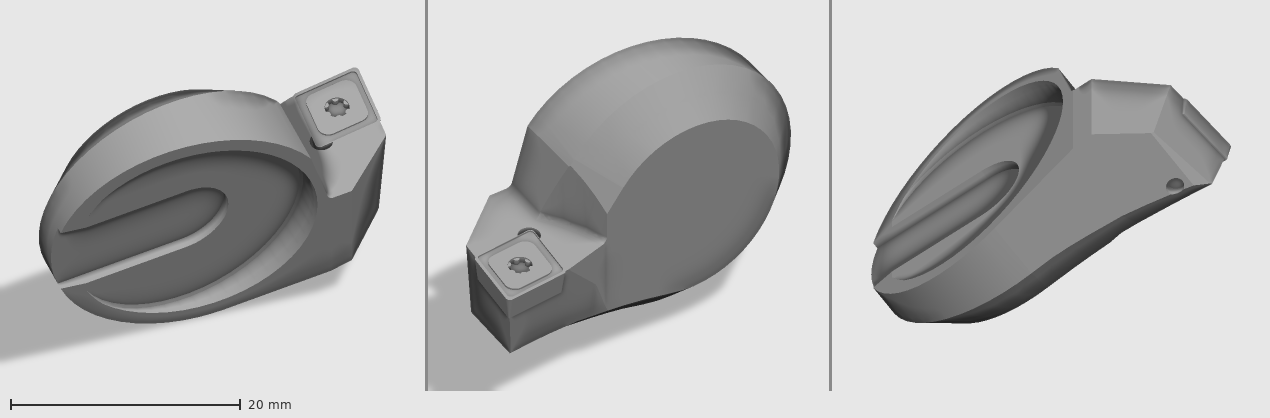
import cadquery as cq
import math

DISC_RADIUS = 12.5
DISC_CHAMFER = 3.5
BACK_OFFSET = 8.55
BACK_TILT = 9.0
STRAIGHT_BEVEL_ANGLE = 37.0
STRAIGHT_BEVEL_LENGTH = 3.95

BORE_RADIUS = 11.05
BORE_FLOOR_X = 7.05
BORE_FLOOR_CHAMFER = 0.23
SLOT_RADIUS = 4.0
SLOT_FLOOR_X = 6.05

PLUG_RADIUS = 6.75
PLUG_THICKNESS = 3.3

ARM_RIGHT_X = 10.5
UNDERSIDE_SLOPE = 13.0
TOE_BOTTOM_Y = 18.23
TOE_TOP_Y = 19.38
TOE_TOP_Z = -7.4
ARM_BLANK_END_Y = 21.05
ARM_BLANK_TOP_Z = 0.65
NECK_ROOT = (0.0, 8.95)
NECK_TIP = (-1.35, 13.98)
NECK_ROOT_FILLET = 0.65
SLANT_START = (ARM_RIGHT_X, 14.25)
SLANT_END = (6.0, 19.65)

FLANK_INSET = 0.15
FLANK_START_Y = 8.85
FOLD_Y = 10.23
FOLD_RADIUS = 0.82
FLARE_ANGLE = 10.0
FLANK_RISE = 1.65
FLANK_DEPTH = 14.8

STEP_Y = 12.17
STEP_LEAN = 14.0
STEP_ARC = [(0.0, 8.85), (3.55, 10.43), (6.58, 12.55)]
STEP_FILLET = 0.55

BEVEL_NEAR = [(5.72, 3.42), (8.85, 3.05), (11.85, 2.6)]
BEVEL_FAR = [BEVEL_NEAR[-1], (15.15, 1.75), (20.4, 0.0)]

INSERT_CENTER = (1.45, 16.95)
INSCRIBED_DIAMETER = 6.35
CORNER_ANGLE = 80.0
SHARP_DIRECTION = 135.0
NOSE_RADIUS = 0.4
INSERT_THICKNESS = 2.37
CLEARANCE = 7.0
RAKE = 2.0
CUTTING_LAND = 0.3
BACK_LAND = 0.05
ISLAND_INSET = 0.8
ISLAND_RADIUS = 1.0
GROOVE_DEPTH = 0.15
RELIEF_CENTER = (4.3, 14.15)
RELIEF_RADIUS = 1.02

HEAD_RADIUS = 1.95
HEAD_HEIGHT = 1.0
SHANK_RADIUS = 0.8
SCREW_LENGTH = 7.9
SOCKET_RADIUS = 1.1
SOCKET_DEPTH = 0.65
RIB_COUNT = 6
RIB_RADIUS = 0.3
RIB_ANGLE = 45.0
RIB_TOP_DEPTH = 0.13

FAR = 26.32
TOOL_MARGIN = 3.3


def sin(angle):
    return math.sin(math.radians(angle))


def cos(angle):
    return math.cos(math.radians(angle))


def tan(angle):
    return math.tan(math.radians(angle))


HALF_SHARP_DIAGONAL = INSCRIBED_DIAMETER / 2 / sin(CORNER_ANGLE / 2)
RAKE_PLANE = cq.Plane(
    origin=(*INSERT_CENTER, -HALF_SHARP_DIAGONAL * cos(SHARP_DIRECTION) * tan(RAKE)),
    xDir=(cos(RAKE), 0, sin(RAKE)),
    normal=(-sin(RAKE), 0, cos(RAKE)),
)


def on_rake_plane(shape):
    return cq.Workplane(shape.val().moved(cq.Location(RAKE_PLANE)))



def rhombus(inset, corner_radius, shift=0.0, depth=0.0):
    """Insert outline moved inwards by inset and away from the cutting corner by shift."""
    half_sharp = HALF_SHARP_DIAGONAL - inset / sin(CORNER_ANGLE / 2)
    half_blunt = half_sharp * tan(CORNER_ANGLE / 2)
    corners = []
    for i, half in enumerate([half_sharp, half_blunt] * 2):
        direction = SHARP_DIRECTION - 90 * i
        corners.append((
            half * cos(direction) - shift * cos(SHARP_DIRECTION),
            half * sin(direction) - shift * sin(SHARP_DIRECTION),
        ))
    outline = cq.Sketch().polygon([*corners, corners[0]]).vertices().fillet(corner_radius)
    return cq.Workplane(RAKE_PLANE).workplane(offset=-depth).placeSketch(outline)


def insert_blank():
    return rhombus(0, NOSE_RADIUS).extrude(-INSERT_THICKNESS, taper=CLEARANCE)


def screw_blank(length):
    profile = [
        (0, 0),
        (HEAD_RADIUS, 0),
        (SHANK_RADIUS, -HEAD_HEIGHT),
        (SHANK_RADIUS, -length),
        (0, -length),
    ]
    return cq.Workplane("XZ").polyline(profile).close().revolve(360, (0, 0, 0), (0, 1, 0))


def make_insert():
    mean_land = (CUTTING_LAND + BACK_LAND) / 2
    land_shift = (CUTTING_LAND - BACK_LAND) / 2 / sin(CORNER_ANGLE / 2)
    groove = rhombus(mean_land, NOSE_RADIUS, land_shift, GROOVE_DEPTH).extrude(GROOVE_DEPTH)
    island = rhombus(ISLAND_INSET, ISLAND_RADIUS, depth=GROOVE_DEPTH).extrude(GROOVE_DEPTH)
    screw_hole = on_rake_plane(screw_blank(SCREW_LENGTH))
    return insert_blank().cut(groove.cut(island)).cut(screw_hole)


def screw_socket():
    socket = cq.Workplane("XY").circle(SOCKET_RADIUS).extrude(-SOCKET_DEPTH)
    rib_top = cq.Workplane("XY", origin=(0, 0, -RIB_TOP_DEPTH))
    for i in range(RIB_COUNT):
        direction = RIB_ANGLE + i * 360 / RIB_COUNT
        center = (SOCKET_RADIUS * cos(direction), SOCKET_RADIUS * sin(direction))
        socket = socket.cut(rib_top.pushPoints([center]).circle(RIB_RADIUS).extrude(-SOCKET_DEPTH))
    return socket


def make_screw():
    return on_rake_plane(screw_blank(SCREW_LENGTH).cut(screw_socket()))



def make_plug():
    return cq.Workplane("YZ").circle(PLUG_RADIUS).extrude(PLUG_THICKNESS)



def underside_z(y):
    return (y * sin(UNDERSIDE_SLOPE) - DISC_RADIUS) / cos(UNDERSIDE_SLOPE)


def side_prism():
    """Disc outline with the tangent arm, extruded along X."""
    r = DISC_RADIUS
    arm_start_y = math.sqrt(r**2 - ARM_BLANK_TOP_Z**2)
    return (
        cq.Workplane("YZ", origin=(-FAR, 0, 0))
        .moveTo(arm_start_y, ARM_BLANK_TOP_Z)
        .threePointArc((-r, 0), (r * sin(UNDERSIDE_SLOPE), -r * cos(UNDERSIDE_SLOPE)))
        .lineTo(TOE_BOTTOM_Y, underside_z(TOE_BOTTOM_Y))
        .lineTo(TOE_TOP_Y, TOE_TOP_Z)
        .lineTo(ARM_BLANK_END_Y, TOE_TOP_Z)
        .lineTo(ARM_BLANK_END_Y, ARM_BLANK_TOP_Z)
        .close()
        .extrude(2 * FAR)
    )


def plan_prism():
    """Outline from above, with the neck, the slanted corner and the tilted back face."""
    end_y = ARM_BLANK_END_Y
    neck_slope = (NECK_TIP[0] - NECK_ROOT[0]) / (NECK_TIP[1] - NECK_ROOT[1])
    slant_slope = (SLANT_END[0] - SLANT_START[0]) / (SLANT_END[1] - SLANT_START[1])
    outline = [
        (0, -FAR),
        NECK_ROOT,
        (NECK_ROOT[0] + neck_slope * (end_y - NECK_ROOT[1]), end_y),
        (SLANT_START[0] + slant_slope * (end_y - SLANT_START[1]), end_y),
        SLANT_START,
        (ARM_RIGHT_X, (ARM_RIGHT_X - BACK_OFFSET) / tan(BACK_TILT)),
        (BACK_OFFSET - FAR * tan(BACK_TILT), -FAR),
    ]
    prism = cq.Workplane("XY", origin=(0, 0, -FAR)).polyline(outline).close().extrude(2 * FAR)
    neck_root = cq.selectors.NearestToPointSelector((*NECK_ROOT, 0))
    return prism.edges("|Z").edges(neck_root).fillet(NECK_ROOT_FILLET)


def flank_trim():
    """Material outside the tapered arm flanks, which run parallel to the insert flanks."""
    side_lean = (90 - CORNER_ANGLE) / 2
    half_sharp = HALF_SHARP_DIAGONAL - FLANK_INSET / sin(CORNER_ANGLE / 2)
    widening = FLANK_RISE * tan(CLEARANCE)
    tip_x = half_sharp * cos(SHARP_DIRECTION) - widening
    tip_y = half_sharp * sin(SHARP_DIRECTION) + widening
    fold_y = FOLD_Y - INSERT_CENTER[1]
    fold = (tip_x + (tip_y - fold_y) * tan(side_lean), fold_y)
    low_y = tip_y - FAR
    corners = [
        (tip_x, tip_y),
        (tip_x + FAR, tip_y - FAR * tan(side_lean)),
        (tip_x + FAR, low_y),
        (fold[0] - (fold_y - low_y) * tan(FLARE_ANGLE), low_y),
        fold,
    ]
    at_fold = cq.selectors.NearestToPointSelector((*fold, 0))
    outline = cq.Sketch().polygon([*corners, corners[0]]).vertices(at_fold).fillet(FOLD_RADIUS)
    kept = (
        cq.Workplane(RAKE_PLANE)
        .workplane(offset=FLANK_RISE)
        .placeSketch(outline)
        .extrude(-FLANK_DEPTH, taper=CLEARANCE)
    )
    arm_zone = (
        cq.Workplane("XY", origin=(0, FLANK_START_Y, ARM_BLANK_TOP_Z))
        .box(2 * FAR, FAR, FAR, centered=(True, False, False))
        .translate((0, 0, -FAR))
    )
    return arm_zone.cut(kept)


def step_cut():
    """Space above the arm top, bounded by the leaning wall and the curved upright wall."""
    leaning = (
        cq.Workplane("YZ", origin=(-FAR, 0, 0))
        .polyline([
            (STEP_Y + FAR * tan(STEP_LEAN), -FAR),
            (STEP_Y - FAR * tan(STEP_LEAN), FAR),
            (2 * FAR, FAR),
            (2 * FAR, -FAR),
        ])
        .close()
        .extrude(2 * FAR)
    )
    start, middle, end = STEP_ARC
    curved = (
        cq.Workplane("XY", origin=(0, 0, -FAR))
        .moveTo(*start)
        .threePointArc(middle, end)
        .lineTo(end[0], FAR)
        .lineTo(-FAR, FAR)
        .lineTo(-FAR, start[1])
        .close()
        .extrude(2 * FAR)
    )
    above_arm = cq.Workplane(RAKE_PLANE).rect(3 * FAR, 3 * FAR).extrude(FAR / 2)
    return leaning.union(curved).intersect(above_arm)


def fillet_step_root(head):
    root = cq.selectors.BoxSelector(
        (0.33, STEP_ARC[0][1] - TOOL_MARGIN, 0), (ARM_RIGHT_X - 0.33, STEP_ARC[2][1], ARM_BLANK_TOP_Z)
    )
    return head.edges(root).fillet(STEP_FILLET)


def disc_bevel():
    """Conical bevel around the disc, running straight where it nears the step."""
    c = DISC_CHAMFER
    r = DISC_RADIUS
    section = [(0, r - c), (c, r), (c, r + c), (-c, r + c), (-c, r - 2 * c)]
    sweep = 270 + UNDERSIDE_SLOPE - STRAIGHT_BEVEL_ANGLE
    cone = cq.Workplane("XY").polyline(section).close().revolve(sweep, (0, 0, 0), (1, 0, 0))
    straight = cq.Workplane("XY").polyline(section).close().extrude(-STRAIGHT_BEVEL_LENGTH)
    return cone.union(straight).rotate((0, 0, 0), (1, 0, 0), STRAIGHT_BEVEL_ANGLE)


def underside_bevel():
    """Bevel along the arm underside, continuing the conical bevel of the disc."""
    m = TOOL_MARGIN

    def section(y, width):
        z = underside_z(y)
        return [(width, y, z), (width, y, z - m), (-m, y, z - m), (-m, y, z + width + m)]

    def tangent_point(x, distance):
        return (x, distance * sin(UNDERSIDE_SLOPE), -distance * cos(UNDERSIDE_SLOPE))

    def loft(sections):
        wires = []
        for points in sections:
            wires.append(cq.Wire.makePolygon([cq.Vector(*p) for p in points], close=True))
        return cq.Workplane(cq.Solid.makeLoft(wires))

    r = DISC_RADIUS
    tangent_section = [
        tangent_point(DISC_CHAMFER, r),
        tangent_point(DISC_CHAMFER, r + m),
        tangent_point(-m, r + m),
        tangent_point(-m, r - DISC_CHAMFER - m),
    ]
    near = loft([tangent_section, *[section(*place) for place in BEVEL_NEAR]])
    far = loft([section(*place) for place in BEVEL_FAR])
    return near.union(far)


def back_recess():
    """Shallow bore with a slot in its floor that opens through the rim on the -Y side."""
    bore = cq.Workplane("YZ", origin=(BORE_FLOOR_X, 0, 0)).circle(BORE_RADIUS).extrude(FAR)
    bore = bore.faces("<X").chamfer(BORE_FLOOR_CHAMFER)
    slot_floor = cq.Workplane("YZ", origin=(SLOT_FLOOR_X, 0, 0))
    slot_end = slot_floor.circle(SLOT_RADIUS).extrude(FAR)
    slot = slot_floor.center(-FAR / 2, 0).rect(FAR, 2 * SLOT_RADIUS).extrude(FAR)
    return bore.union(slot_end).union(slot)


def insert_pocket():
    """Seat of the insert, its corner relief and the screw hole through the arm."""
    relief = (
        cq.Workplane(RAKE_PLANE)
        .center(RELIEF_CENTER[0] - INSERT_CENTER[0], RELIEF_CENTER[1] - INSERT_CENTER[1])
        .circle(RELIEF_RADIUS)
        .extrude(-INSERT_THICKNESS)
    )
    return insert_blank().union(relief).union(on_rake_plane(screw_blank(FAR)))


def make_head():
    head = side_prism().intersect(plan_prism())
    head = head.cut(flank_trim())
    head = fillet_step_root(head.cut(step_cut()))
    head = head.cut(disc_bevel()).cut(underside_bevel())
    head = head.cut(back_recess()).cut(make_plug())
    return head.cut(insert_pocket())


head = make_head()
plug = make_plug()
insert = make_insert()
screw = make_screw()

bodies = [head, plug, insert, screw]
result = cq.Compound.makeCompound([body.solids().val() for body in bodies])